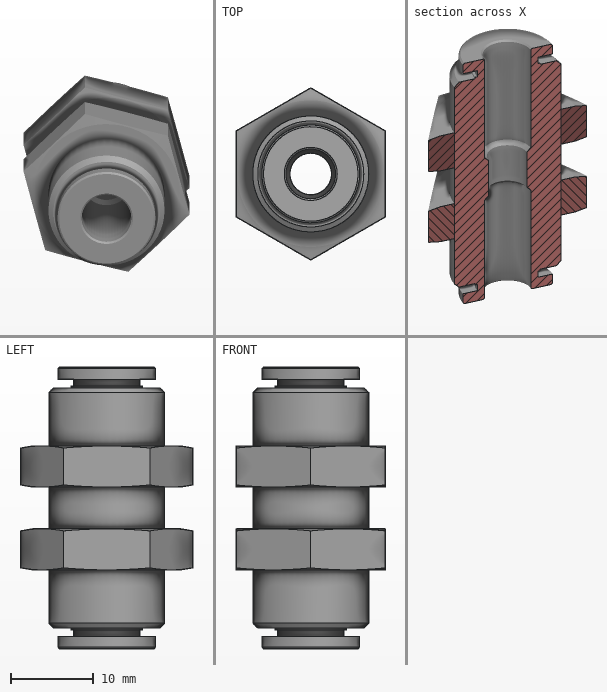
import cadquery as cq
import math

overall_length = 34.0
half_length = overall_length / 2

barrel_diameter = 14.0
barrel_chamfer = 0.6

flange_diameter = 11.8
flange_thickness = 1.5
flange_chamfer = 0.2
neck_diameter = 8.0
neck_length = 0.8
shoulder_diameter = 8.6
shoulder_height = 0.2

socket_diameter = 6.0
socket_depth = 14.0
socket_chamfer = 0.2
passage_diameter = 5.0

nut_across_flats = 18.0
nut_across_corners = nut_across_flats / math.cos(math.radians(30))
nut_thickness = 5.0
nut_gap = 5.0
nut_face_diameter = 17.7
nut_corner_drop = 0.27

flange_bottom = half_length - flange_thickness
shoulder_top = flange_bottom - neck_length
barrel_top = shoulder_top - shoulder_height


def make_fitting():
    """Fitting symmetric about the middle plane, turned about Z, with a bore right through."""
    socket_radius = socket_diameter / 2
    passage_radius = passage_diameter / 2
    barrel_radius = barrel_diameter / 2
    flange_radius = flange_diameter / 2
    socket_floor = half_length - socket_depth
    passage_end = socket_floor - (socket_radius - passage_radius)

    upper_outside = [
        (barrel_radius, barrel_top - barrel_chamfer),
        (barrel_radius - barrel_chamfer, barrel_top),
        (shoulder_diameter / 2, barrel_top),
        (shoulder_diameter / 2, shoulder_top),
        (neck_diameter / 2, shoulder_top),
        (neck_diameter / 2, flange_bottom),
        (flange_radius, flange_bottom),
        (flange_radius, half_length - flange_chamfer),
        (flange_radius - flange_chamfer, half_length),
    ]
    upper_bore = [
        (socket_radius + socket_chamfer, half_length),
        (socket_radius, half_length - socket_chamfer),
        (socket_radius, socket_floor),
        (passage_radius, passage_end),
    ]
    upper_profile = upper_outside + upper_bore
    lower_profile = [(radius, -height) for radius, height in reversed(upper_profile)]
    return (
        cq.Workplane("XZ")
        .polyline(upper_profile + lower_profile)
        .close()
        .revolve(360, (0, 0), (0, 1))
    )


def make_nut(center_height):
    """Hexagon nut with two flats facing +X and -X and conically turned corners."""
    half_thickness = nut_thickness / 2
    face_radius = nut_face_diameter / 2
    corner_radius = nut_across_corners / 2
    corner_height = half_thickness - nut_corner_drop
    cone_overrun = 0.1
    cone_slope = nut_corner_drop / (corner_radius - face_radius)
    rim_radius = corner_radius + cone_overrun
    rim_height = corner_height - cone_slope * cone_overrun

    hexagon = (
        cq.Workplane("XY")
        .polygon(6, nut_across_corners)
        .extrude(half_thickness, both=True)
        .rotate((0, 0, 0), (0, 0, 1), 30)
    )
    envelope = (
        cq.Workplane("XZ")
        .polyline([
            (0, -half_thickness),
            (face_radius, -half_thickness),
            (rim_radius, -rim_height),
            (rim_radius, rim_height),
            (face_radius, half_thickness),
            (0, half_thickness),
        ])
        .close()
        .revolve(360, (0, 0), (0, 1))
    )
    bore = cq.Workplane("XY").circle(barrel_diameter / 2).extrude(half_thickness, both=True)
    return hexagon.intersect(envelope).cut(bore).translate((0, 0, center_height))


fitting = make_fitting()

nut_offset = (nut_gap + nut_thickness) / 2
nuts = [make_nut(side * nut_offset) for side in (-1, 1)]

result = cq.Compound.makeCompound([fitting.val(), *[nut.val() for nut in nuts]])